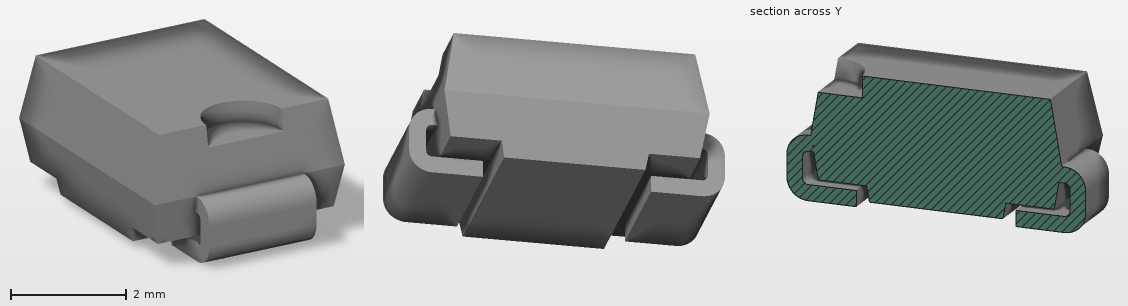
import cadquery as cq
import math

body_length = 4.705
body_width = 3.8
top_z = 2.4
seam_z = 1.205
shoulder_z = 0.405
bottom_z = 0.11
draft_angle = 10.0
shoulder_half_length = 1.305

overall_length = 5.6
lead_width = 2.15
lead_thickness = 0.3
lead_bend_radius = 0.405
foot_length = 1.31
lead_embed = 0.28

notch_radius = 0.755
notch_depth = 0.4

draft_slope = math.tan(math.radians(draft_angle))


def tapered_half(end_z):
    """Half of the body, narrowing from the seam to end_z."""
    half = (
        cq.Workplane("XY")
        .rect(body_length, body_width)
        .extrude(abs(end_z - seam_z), taper=draft_angle)
    )
    if end_z < seam_z:
        half = half.mirror("XY")
    return half.translate((0, 0, seam_z))


def shoulder_cut(side):
    """Space above the foot, bounded by the drafted end of the central pad."""
    pad_half_length = shoulder_half_length - (shoulder_z - bottom_z) * draft_slope
    outer_x = side * overall_length / 2
    return (
        cq.Workplane("XZ")
        .moveTo(side * shoulder_half_length, shoulder_z)
        .lineTo(outer_x, shoulder_z)
        .lineTo(outer_x, bottom_z)
        .lineTo(side * pad_half_length, bottom_z)
        .close()
        .extrude(body_width / 2, both=True)
    )


def left_lead():
    """C-shaped strip leaving the body at the seam and folding under it."""
    outer_x = -overall_length / 2
    root_x = -body_length / 2 + lead_embed
    loop_length = 2 * foot_length
    inner_radius = lead_bend_radius - lead_thickness
    outer = (
        cq.Workplane("XY")
        .box(loop_length, lead_width, seam_z, centered=(False, True, False))
        .edges("|Y and <X")
        .fillet(lead_bend_radius)
    )
    inner = (
        cq.Workplane("XY")
        .box(loop_length, lead_width, seam_z - 2 * lead_thickness, centered=(False, True, False))
        .edges("|Y and <X")
        .fillet(inner_radius)
        .translate((lead_thickness, 0, lead_thickness))
    )
    strip = outer.cut(inner).translate((outer_x, 0, 0))
    foot_trim = (
        cq.Workplane("XY")
        .box(loop_length, lead_width, seam_z / 2, centered=(False, True, False))
        .translate((outer_x + foot_length, 0, 0))
    )
    root_trim = (
        cq.Workplane("XY")
        .box(loop_length, lead_width, seam_z / 2, centered=(False, True, False))
        .translate((root_x, 0, seam_z / 2))
    )
    return strip.cut(foot_trim).cut(root_trim)


body = tapered_half(top_z).union(tapered_half(bottom_z))
for side in (-1, 1):
    body = body.cut(shoulder_cut(side))

top_edge_x = body_length / 2 - (top_z - seam_z) * draft_slope
notch = (
    cq.Workplane("XY")
    .center(top_edge_x, 0)
    .circle(notch_radius)
    .extrude(notch_depth)
    .translate((0, 0, top_z - notch_depth))
)
body = body.cut(notch)

lead = left_lead()
result = body.union(lead).union(lead.mirror("YZ"))